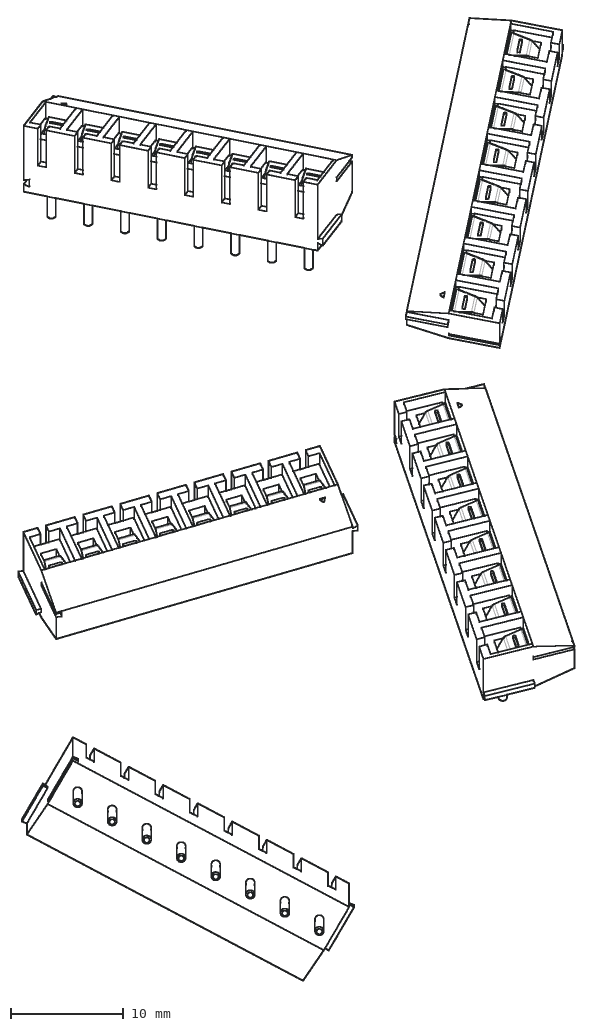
import cadquery as cq
import math


pole_count = 8
total_length = 29.0
tongue_depth = 0.5
body_length = total_length - 2 * tongue_depth
pitch = body_length / pole_count
body_depth = 8.4
body_height = 6.8
ridge_y = 4.6
top_slope_drop = 1.55
bottom_slope_rise = 1.45

pocket_width = 2.87
front_wall = 0.75
floor_depth = 1.5
floor_z = body_height - floor_depth
entry_width = 0.78
entry_depth = 3.8

back_gap = 0.3
side_gap = 0.044
gap_depth = 0.3

lever_thickness = 0.2
lever_back_width = 2.2
lever_front_width = 1.48
lever_wall_clearance = 0.12
lever_back_y = ridge_y - lever_wall_clearance
lever_bend_y = 2.6
lever_bend_radius = 0.23
lever_back_radius = 0.23
lever_top_z = floor_z + lever_thickness
dip_angle = 70.0
window_front_y = 1.7
window_bottom_z = lever_top_z - (lever_bend_y - window_front_y) * math.tan(math.radians(dip_angle))
slot_length = 1.28
slot_width = 0.25
slot_y = 3.5
slot_depth = 0.35

joint_neck = 0.4
joint_tip = 0.72
groove_depth = 0.55
upper_joint_z = body_height - 1.97
lower_joint_z = 1.0

pin_length = 3.5
pin_diameter = 0.78
pin_y = 2.3
pin_chamfer = 0.15
pin_embed = 0.3

mark_side = 0.52
mark_y = 5.36
mark_depth = 0.15

pole_xs = [(i - (pole_count - 1) / 2) * pitch for i in range(pole_count)]
half_body = body_length / 2


def housing():
    outline = [
        (0, 0),
        (ridge_y, 0),
        (body_depth, bottom_slope_rise),
        (body_depth, body_height - top_slope_drop),
        (ridge_y, body_height),
        (0, body_height),
    ]
    return cq.Workplane("YZ").polyline(outline).close().extrude(half_body, both=True)


def dovetail(root_x, reach, z, y_start, y_end):
    """Prism along Y that widens from root_x towards root_x + reach."""
    outline = [
        (root_x, z - joint_neck / 2),
        (root_x + reach, z - joint_tip / 2),
        (root_x + reach, z + joint_tip / 2),
        (root_x, z + joint_neck / 2),
    ]
    plane = cq.Workplane("XZ", origin=(0, y_start, 0))
    return plane.polyline(outline).close().extrude(y_start - y_end)


def box(x_size, y_start, y_end, z_start, z_end):
    """Box centred on x = 0 between the given Y and Z limits."""
    plane = cq.Workplane("XY", origin=(0, y_start, z_start))
    return plane.box(x_size, y_end - y_start, z_end - z_start, centered=(True, False, False))


def pole_cavity():
    gap_z = floor_z - gap_depth
    pocket = box(pocket_width, front_wall, ridge_y, gap_z, body_height)
    floor = box(pocket_width - 2 * side_gap, front_wall, ridge_y - back_gap, gap_z, floor_z)
    entry = box(entry_width, 0, front_wall, body_height - entry_depth, body_height)
    window = box(lever_front_width, window_front_y, lever_bend_y, window_bottom_z, floor_z)
    return pocket.cut(floor).union(entry).union(window)


def lever():
    """Tapered plate, rounded at the back, whose front end dips across the window."""
    profile = (
        cq.Workplane("YZ")
        .moveTo(lever_back_y, floor_z - gap_depth)
        .lineTo(lever_back_y, lever_top_z)
        .lineTo(lever_bend_y, lever_top_z)
        .lineTo(window_front_y, window_bottom_z)
        .lineTo(lever_bend_y, window_bottom_z)
        .lineTo(lever_bend_y, floor_z - gap_depth)
        .close()
        .extrude(lever_back_width / 2, both=True)
    )
    bend_edge = cq.selectors.NearestToPointSelector((0, lever_bend_y, lever_top_z))
    profile = profile.edges(bend_edge).fillet(lever_bend_radius)
    back_edge = cq.selectors.NearestToPointSelector((0, lever_back_y, lever_top_z))
    profile = profile.edges(back_edge).fillet(lever_back_radius)

    half_back = lever_back_width / 2
    half_front = lever_front_width / 2
    outline = [
        (-half_back, lever_back_y),
        (-half_front, lever_bend_y),
        (-half_front, window_front_y),
        (half_front, window_front_y),
        (half_front, lever_bend_y),
        (half_back, lever_back_y),
    ]
    plan = cq.Workplane("XY", origin=(0, 0, window_bottom_z)).polyline(outline).close()
    return profile.intersect(plan.extrude(lever_top_z - window_bottom_z))


def lever_slot():
    return (
        cq.Workplane("XY", origin=(0, slot_y, lever_top_z))
        .slot2D(slot_length, slot_width)
        .extrude(-slot_depth)
    )


def pin():
    return (
        cq.Workplane("XY", origin=(0, pin_y, pin_embed))
        .circle(pin_diameter / 2)
        .extrude(-pin_length - pin_embed)
        .faces("<Z")
        .chamfer(pin_chamfer)
    )


def first_pole_mark():
    slope_z = body_height - top_slope_drop * (mark_y - ridge_y) / (body_depth - ridge_y)
    return (
        cq.Workplane("XY", origin=(pole_xs[0], mark_y, slope_z - mark_depth))
        .polyline([(-mark_side / 2, 0), (mark_side / 2, 0), (0, mark_side * math.sqrt(3) / 2)])
        .close()
        .extrude(2 * mark_depth)
    )


result = housing()

result = result.union(dovetail(-half_body, -tongue_depth, upper_joint_z, ridge_y, body_depth))
result = result.cut(dovetail(half_body, -groove_depth, upper_joint_z, ridge_y, body_depth))
result = result.union(dovetail(half_body, tongue_depth, lower_joint_z, 0, ridge_y))
result = result.cut(dovetail(-half_body, groove_depth, lower_joint_z, 0, ridge_y))

result = result.cut(first_pole_mark())
for x in pole_xs:
    result = result.cut(pole_cavity().translate((x, 0, 0)))
    result = result.union(lever().translate((x, 0, 0)))
    result = result.cut(lever_slot().translate((x, 0, 0)))
    result = result.union(pin().translate((x, 0, 0)))